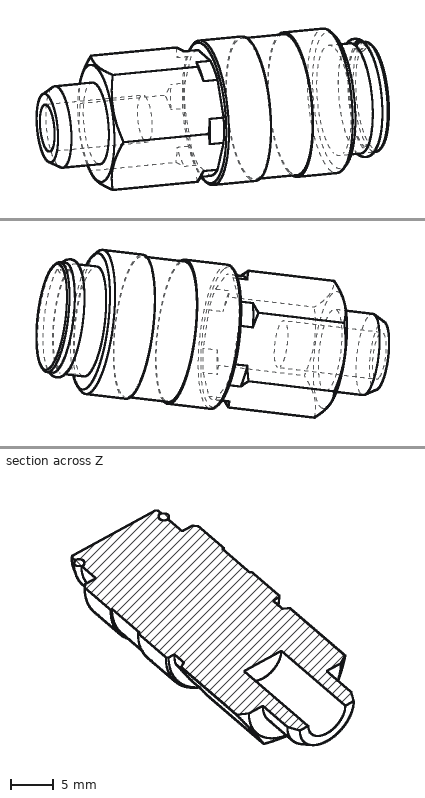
import cadquery as cq
import math

LENGTH = 40.0

NOSE_RADIUS = 4.8
NOSE_TIP_RADIUS = 4.05
NOSE_TAPER_LENGTH = 1.4
BORE_RADIUS = 2.75
BORE_DEPTH = 12.0

HEX_START = 6.0
HEX_ACROSS_FLATS = 14.1
HEX_FACE_RADIUS = 6.9
HEX_CHAMFER_SLOPE = math.tan(math.radians(30))
HEX_CORNER_RADIUS = HEX_ACROSS_FLATS / 2 / math.cos(math.radians(30))
HEX_CHAMFER_LENGTH = (HEX_CORNER_RADIUS - HEX_FACE_RADIUS) * HEX_CHAMFER_SLOPE

RELIEF_START = 17.6
RELIEF_RADIUS = 7.4
RELIEF_CHAMFER_LENGTH = (HEX_CORNER_RADIUS - RELIEF_RADIUS) * HEX_CHAMFER_SLOPE

SLEEVE_START = 19.3
WAIST_START = 24.75
WAIST_END = 29.9
SLEEVE_END = 35.3
BAND_DIAMETER = 17.0
BAND_RADIUS = BAND_DIAMETER / 2
WAIST_RADIUS = 8.3
FRONT_CHAMFER = 0.25
REAR_CHAMFER = 0.5

NECK_RADIUS = 6.5
NECK_CHAMFER = 0.25

WIRE_RADIUS = 0.6
RING_RADIUS = 6.35
RING_POSITION = LENGTH - 1.5
RING_GAP = 0.6


def turned(points):
    """Revolve a (radius, axial position) outline around the Y axis."""
    outline = cq.Workplane("XY").polyline(points).close()
    return outline.revolve(360, (0, 0, 0), (0, 1, 0))


def full_ring():
    """Round wire bent into an uninterrupted ring."""
    wire = cq.Workplane("XY").center(RING_RADIUS, RING_POSITION).circle(WIRE_RADIUS)
    return wire.revolve(360, (-RING_RADIUS, 0, 0), (-RING_RADIUS, 1, 0))


def make_nose():
    return turned([
        (0, 0),
        (NOSE_TIP_RADIUS, 0),
        (NOSE_RADIUS, NOSE_TAPER_LENGTH),
        (NOSE_RADIUS, HEX_START),
        (0, HEX_START),
    ])


def make_hexagon():
    prism = (
        cq.Workplane("XZ", origin=(0, HEX_START, 0))
        .polygon(6, 2 * HEX_CORNER_RADIUS)
        .extrude(-(SLEEVE_START - HEX_START))
    )
    corner_trim = turned([
        (0, HEX_START),
        (HEX_FACE_RADIUS, HEX_START),
        (HEX_CORNER_RADIUS, HEX_START + HEX_CHAMFER_LENGTH),
        (HEX_CORNER_RADIUS, RELIEF_START - RELIEF_CHAMFER_LENGTH),
        (RELIEF_RADIUS, RELIEF_START),
        (RELIEF_RADIUS, SLEEVE_START),
        (0, SLEEVE_START),
    ])
    return prism.intersect(corner_trim)


def make_sleeve():
    return turned([
        (0, SLEEVE_START),
        (BAND_RADIUS - FRONT_CHAMFER, SLEEVE_START),
        (BAND_RADIUS, SLEEVE_START + FRONT_CHAMFER),
        (BAND_RADIUS, WAIST_START),
        (WAIST_RADIUS, WAIST_START),
        (WAIST_RADIUS, WAIST_END),
        (BAND_RADIUS, WAIST_END),
        (BAND_RADIUS, SLEEVE_END - REAR_CHAMFER),
        (BAND_RADIUS - REAR_CHAMFER, SLEEVE_END),
        (0, SLEEVE_END),
    ])


def make_neck():
    neck = (
        cq.Workplane("XZ", origin=(0, SLEEVE_END, 0))
        .circle(NECK_RADIUS)
        .extrude(-(LENGTH - SLEEVE_END))
    )
    return neck.faces(">Y").edges().chamfer(NECK_CHAMFER)


def make_coupling():
    """Nose, hexagon, sleeve and neck, with the nose bore and the ring groove."""
    bore = cq.Workplane("XZ").circle(BORE_RADIUS).extrude(-BORE_DEPTH)
    blank = make_nose().union(make_hexagon()).union(make_sleeve()).union(make_neck())
    return blank.cut(bore).cut(full_ring())


def make_snap_ring():
    """Wire ring split by a gap on the +Z side."""
    gap_height = RING_RADIUS + 2 * WIRE_RADIUS
    gap = (
        cq.Workplane("XY", origin=(0, RING_POSITION, 0))
        .rect(RING_GAP, 4 * WIRE_RADIUS)
        .extrude(gap_height)
    )
    return full_ring().cut(gap)


coupling = make_coupling()
snap_ring = make_snap_ring()

result = cq.Compound.makeCompound([coupling.val(), snap_ring.val()])